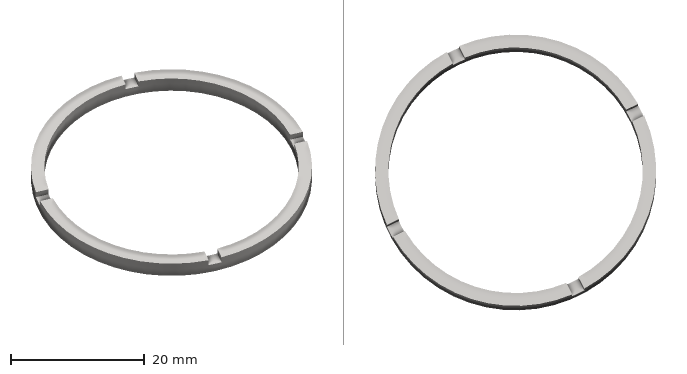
import cadquery as cq

outer_diameter = 42.0
inner_diameter = 38.0
height = 2.5

notch_width = 2.0
notch_depth = 1.0


def ring():
    return (
        cq.Workplane("XY")
        .circle(outer_diameter / 2)
        .circle(inner_diameter / 2)
        .extrude(height)
    )


def notch_pair(angle):
    """Bar across the full diameter; it cuts two opposite notches."""
    return (
        cq.Workplane("XY")
        .workplane(offset=height - notch_depth)
        .rect(outer_diameter, notch_width)
        .extrude(notch_depth)
        .rotate((0, 0, 0), (0, 0, 1), angle)
    )


result = ring()
for angle in (0, 90):
    result = result.cut(notch_pair(angle))